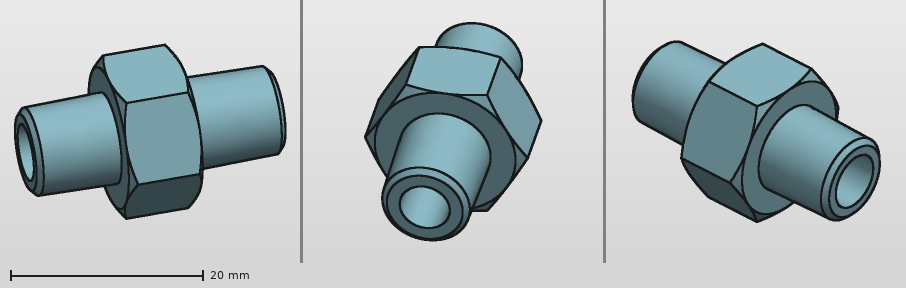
import cadquery as cq
import math

total_length = 27.0
front_end = -total_length / 2
back_end = total_length / 2

across_flats = 15.0
across_corners = across_flats / math.cos(math.radians(30))
hex_front = -4.5
hex_back = 3.5
hex_chamfer_angle = 30.0

base_radius = 4.85
shoulder_radius = 4.67
tip_radius = 4.05
tip_chamfer_length = 0.6
back_collar_length = 1.0

bore_radius = 2.67
front_bore_radius = 3.0
front_bore_step = hex_front


def revolve_about_y(points):
    """Revolve a closed (radius, y) outline about the Y axis."""
    return cq.Workplane("XY").polyline(points).close().revolve(360, (0, 0, 0), (0, 1, 0))


def make_hexagon():
    """Hexagonal prism with flats at +/-Z and conically chamfered corners."""
    prism = (
        cq.Workplane("XZ", origin=(0, hex_back, 0))
        .polygon(6, across_corners)
        .extrude(hex_back - hex_front)
    )
    flat_radius = across_flats / 2
    corner_radius = across_corners / 2
    chamfer_length = (corner_radius - flat_radius) * math.tan(math.radians(hex_chamfer_angle))
    envelope = revolve_about_y([
        (0, hex_front),
        (flat_radius, hex_front),
        (corner_radius, hex_front + chamfer_length),
        (corner_radius, hex_back - chamfer_length),
        (flat_radius, hex_back),
        (0, hex_back),
    ])
    return prism.intersect(envelope)


def make_spigots():
    """Both tapered ends; the back one starts with a cylindrical collar."""
    return revolve_about_y([
        (0, front_end),
        (tip_radius, front_end),
        (shoulder_radius, front_end + tip_chamfer_length),
        (base_radius, hex_front),
        (base_radius, hex_back + back_collar_length),
        (shoulder_radius, back_end - tip_chamfer_length),
        (tip_radius, back_end),
        (0, back_end),
    ])


def make_bore():
    """Through bore with a step level with the front hexagon face."""
    return revolve_about_y([
        (0, front_end),
        (front_bore_radius, front_end),
        (front_bore_radius, front_bore_step),
        (bore_radius, front_bore_step),
        (bore_radius, back_end),
        (0, back_end),
    ])


result = make_hexagon().union(make_spigots()).cut(make_bore())